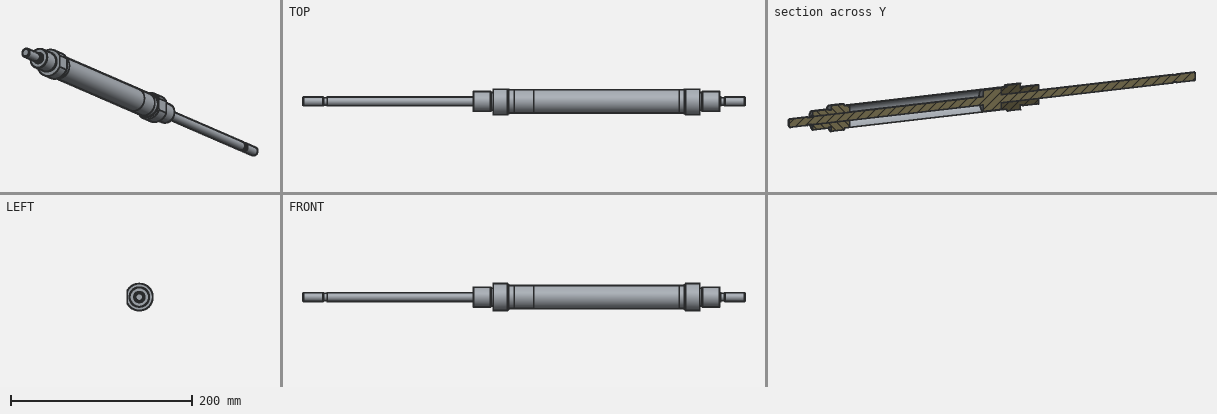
import cadquery as cq


stroke = 160.0
rod_diameter = 10.0
rod_thread_length = 22.0
rod_standout = 6.0
bore_diameter = 25.0
tube_diameter = 26.0
cover_diameter = 30.0
cover_flat_offset = 13.5
cover_length = 17.0
nose_diameter = 22.0
nose_length = 22.0
cover_spacing = 68.0 + stroke

rod_tip_chamfer = 1.0
rod_neck_diameter = 8.5
rod_neck_length = 5.0
rod_neck_chamfer = 1.0
nose_chamfer = 0.5
nose_mouth_chamfer = 1.0
nose_relief_diameter = 20.0
nose_relief_length = 3.0
nose_relief_taper = 1.0
cover_chamfer = 1.6
spigot_length = 6.0
piston_length = 22.0

front_nose_x = rod_thread_length + rod_standout + stroke
front_cover_x = front_nose_x + nose_length
rear_cover_x = front_cover_x + cover_spacing
rear_nose_x = rear_cover_x + nose_length
rod_end_x = rear_nose_x + rod_standout + rod_thread_length
tube_start_x = front_cover_x + cover_length
tube_end_x = rear_cover_x - cover_length
piston_x = tube_start_x + spigot_length


def cylinder(start, end, diameter):
    """Solid cylinder on the X axis between two stations."""
    return cq.Workplane("YZ", origin=(start, 0, 0)).circle(diameter / 2).extrude(end - start)


def revolve_profile(points):
    """Turn an (x, radius) outline about the X axis."""
    return cq.Workplane("XZ").polyline(points).close().revolve(360, (0, 0, 0), (1, 0, 0))


def make_rod():
    """Through rod with a threaded, necked length at both ends and the piston in one piece."""
    radius = rod_diameter / 2
    neck_radius = rod_neck_diameter / 2
    tip_radius = radius - rod_tip_chamfer
    front_thread_x = rod_thread_length
    rear_thread_x = rod_end_x - rod_thread_length
    return revolve_profile([
        (0, 0),
        (0, tip_radius),
        (rod_tip_chamfer, radius),
        (front_thread_x, radius),
        (front_thread_x + rod_neck_chamfer, neck_radius),
        (front_thread_x + rod_neck_length, neck_radius),
        (front_thread_x + rod_neck_length, radius),
        (piston_x, radius),
        (piston_x, bore_diameter / 2),
        (piston_x + piston_length, bore_diameter / 2),
        (piston_x + piston_length, radius),
        (rear_thread_x - rod_neck_length, radius),
        (rear_thread_x - rod_neck_length, neck_radius),
        (rear_thread_x - rod_neck_chamfer, neck_radius),
        (rear_thread_x, radius),
        (rod_end_x - rod_tip_chamfer, radius),
        (rod_end_x, tip_radius),
        (rod_end_x, 0),
    ])


def make_cover():
    """Front end cover: threaded nose, flatted body and a spigot that fits into the tube."""
    rod_radius = rod_diameter / 2
    nose_radius = nose_diameter / 2
    relief_radius = nose_relief_diameter / 2
    cover_radius = cover_diameter / 2
    nose_thread_end_x = front_cover_x - nose_relief_length
    cover = revolve_profile([
        (front_nose_x + nose_mouth_chamfer, rod_radius),
        (front_nose_x, rod_radius + nose_mouth_chamfer),
        (front_nose_x, nose_radius - nose_chamfer),
        (front_nose_x + nose_chamfer, nose_radius),
        (nose_thread_end_x, nose_radius),
        (nose_thread_end_x + nose_relief_taper, relief_radius),
        (front_cover_x, relief_radius),
        (front_cover_x, cover_radius),
        (tube_start_x - cover_chamfer, cover_radius),
        (tube_start_x, cover_radius - cover_chamfer),
        (tube_start_x, bore_diameter / 2),
        (piston_x, bore_diameter / 2),
        (piston_x, rod_radius),
    ])
    flat_cutter = cq.Workplane("XY", origin=(front_cover_x, cover_flat_offset, 0)).box(
        cover_length, cover_diameter, cover_diameter, centered=(False, False, True)
    )
    return cover.cut(flat_cutter)


def make_tube():
    """Thin barrel held between the covers, sliding over their spigots."""
    return cylinder(tube_start_x, tube_end_x, tube_diameter).cut(
        cylinder(tube_start_x, tube_end_x, bore_diameter)
    )


rod = make_rod()
tube = make_tube()
front_cover = make_cover()
rear_cover = front_cover.mirror("YZ", ((front_cover_x + rear_cover_x) / 2, 0, 0))

result = cq.Compound.makeCompound([rod.val(), tube.val(), front_cover.val(), rear_cover.val()])